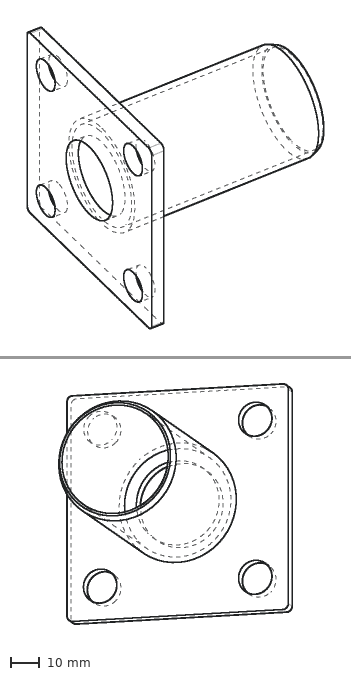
import cadquery as cq

flange_side = 80.0
flange_thickness = 5.0
corner_radius = 2.0
bolt_spacing = 56.0
bolt_hole_diameter = 12.0

total_length = 84.0
tube_diameter = 42.4
flange_bore_diameter = 29.8
tube_wall = 2.0
tube_bore_diameter = tube_diameter - 2 * tube_wall
chamfer_length = 2.9
chamfer_depth = 1.2


def make_flange():
    """Square plate with rounded corners and its front face at Y = 0."""
    plate = cq.Workplane("XZ").rect(flange_side, flange_side).extrude(-flange_thickness)
    return plate.edges("|Y").fillet(corner_radius)


def make_tube():
    """Solid round tube body with a shallow bevel around its free end."""
    tube_radius = tube_diameter / 2
    profile = [
        (0, 0),
        (tube_radius, 0),
        (tube_radius, total_length - chamfer_length),
        (tube_radius - chamfer_depth, total_length),
        (0, total_length),
    ]
    return cq.Workplane("XY").polyline(profile).close().revolve(360, (0, 0), (0, 1))


def make_bore():
    """Wide bore in the tube, narrowing to a smaller hole through the flange."""
    flange_hole = cq.Workplane("XZ").circle(flange_bore_diameter / 2).extrude(-flange_thickness)
    tube_bore = (
        cq.Workplane("XZ", origin=(0, flange_thickness, 0))
        .circle(tube_bore_diameter / 2)
        .extrude(flange_thickness - total_length)
    )
    return flange_hole.union(tube_bore)


def make_bolt_holes():
    """Four through holes in a square pattern around the tube."""
    pattern = cq.Workplane("XZ").rect(bolt_spacing, bolt_spacing, forConstruction=True).vertices()
    return pattern.circle(bolt_hole_diameter / 2).extrude(-flange_thickness)


result = make_flange().union(make_tube()).cut(make_bore()).cut(make_bolt_holes())